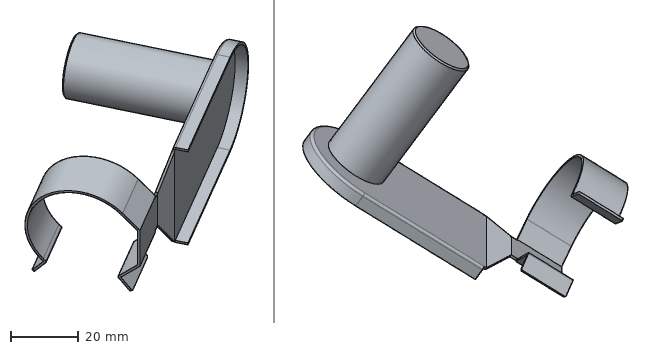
import cadquery as cq
import math

sheet = 0.8
plate_radius = 19.0
bend_radius = 0.9
flange_depth = 4.7
flange_end_y = -42.9

plate_end_y = -43.7
neck_start_y = -50.4
neck_half_width = 6.5
clip_offset = 3.15

pin_diameter = 20.0
pin_length = 45.2
pin_y = 3.0
pin_chamfer = 0.5

clip_start_y = -52.6
clip_end_y = -68.5
clip_outer_radius = 17.8
clip_center_x = -20.3
mouth_half_width = 11.5
lip_length = 6.1
lip_corner_radius = 0.5
mouth_radius = 0.5
lip_angle = math.radians(51)


def plate_block(radius, end_y, start_x, end_x):
    """Straight-sided block with a half-round end towards +Y."""
    return (
        cq.Workplane("YZ", origin=(start_x, 0, 0))
        .moveTo(end_y, -radius)
        .lineTo(0, -radius)
        .threePointArc((radius, 0), (0, radius))
        .lineTo(end_y, radius)
        .close()
        .extrude(end_x - start_x)
    )


def make_tray():
    """Plate with a flange around its sides and round end, open at the -Y end and the back."""
    outside = plate_block(plate_radius, flange_end_y, 0, flange_depth)
    outside = outside.faces("<X").edges("not <Y").fillet(bend_radius)
    inside = plate_block(plate_radius - sheet, flange_end_y, sheet, flange_depth)
    return outside.cut(inside)


def make_neck():
    """Sheet stepping forward from the plate, trimmed to a taper and a narrow tab."""
    bend = math.atan2(clip_offset, plate_end_y - neck_start_y)
    bend_shift = sheet * math.tan(bend / 2)
    side_profile = (
        cq.Workplane("XY", origin=(0, 0, -plate_radius))
        .polyline([
            (0, flange_end_y),
            (0, plate_end_y),
            (-clip_offset, neck_start_y),
            (-clip_offset, clip_start_y),
            (sheet - clip_offset, clip_start_y),
            (sheet - clip_offset, neck_start_y - bend_shift),
            (sheet, plate_end_y - bend_shift),
            (sheet, flange_end_y),
        ])
        .close()
        .extrude(2 * plate_radius)
    )
    wide_half = plate_radius - bend_radius
    outline = (
        cq.Workplane("YZ", origin=(-clip_offset, 0, 0))
        .polyline([
            (flange_end_y, wide_half),
            (plate_end_y, wide_half),
            (neck_start_y, neck_half_width),
            (clip_start_y, neck_half_width),
            (clip_start_y, -neck_half_width),
            (neck_start_y, -neck_half_width),
            (plate_end_y, -wide_half),
            (flange_end_y, -wide_half),
        ])
        .close()
        .extrude(clip_offset + sheet)
    )
    return side_profile.intersect(outline)


def make_pin():
    return (
        cq.Workplane("YZ", origin=(sheet / 2, 0, 0))
        .center(pin_y, 0)
        .circle(pin_diameter / 2)
        .extrude(-pin_length - sheet / 2)
        .faces("<X")
        .chamfer(pin_chamfer)
    )


def clip_half(offset):
    """Points of the +X half of a clip face, offset outwards from the middle of the sheet.

    Ordered from the end of the arc to the end of the lip, measured from the clip centre.
    """
    radius = clip_outer_radius - sheet / 2
    diagonal = math.sqrt(0.5)
    strip_x = sheet / 2 - clip_offset - clip_center_x
    tangent = (radius + offset) * diagonal
    strip_half = 2 * tangent - (strip_x + offset)

    normal_x, normal_z = math.sin(lip_angle), math.cos(lip_angle)
    mitre = offset / (1 + diagonal * (normal_x - normal_z))
    mouth_z = mouth_half_width - radius / diagonal
    mouth = (
        mouth_half_width + mitre * (diagonal + normal_x),
        mouth_z + mitre * (normal_z - diagonal),
    )
    lip_end = (
        mouth_half_width + lip_length * math.cos(lip_angle) + offset * normal_x,
        mouth_z - lip_length * math.sin(lip_angle) + offset * normal_z,
    )
    return [
        (tangent, tangent),
        (strip_x + offset, strip_half),
        (strip_x + offset, -strip_half),
        mouth,
        lip_end,
    ]


def make_clip():
    """Arc with a flat mounting strip on its +X side and matching outward lips at the mouth."""
    outer = clip_half(sheet / 2)
    inner = clip_half(-sheet / 2)
    outer_arc_end = outer[0][0]
    inner_arc_end = inner[0][0]
    outer_left = [(-x, z) for x, z in outer[3:]]
    inner_left = [(-x, z) for x, z in inner[3:]]
    clip = (
        cq.Workplane("XZ", origin=(clip_center_x, clip_start_y, 0))
        .moveTo(*outer_left[1])
        .lineTo(*outer_left[0])
        .lineTo(-outer_arc_end, -outer_arc_end)
        .threePointArc((-outer_arc_end, outer_arc_end), outer[0])
        .polyline(outer[1:], includeCurrent=True)
        .polyline(inner[:0:-1], includeCurrent=True)
        .lineTo(*inner[0])
        .threePointArc((-inner_arc_end, inner_arc_end), (-inner_arc_end, -inner_arc_end))
        .lineTo(*inner_left[0])
        .lineTo(*inner_left[1])
        .close()
        .extrude(clip_start_y - clip_end_y)
    )
    middle_y = (clip_start_y + clip_end_y) / 2
    for x, z in (inner[3], inner_left[0]):
        tip = (clip_center_x + x, middle_y, z)
        clip = clip.edges(cq.selectors.NearestToPointSelector(tip)).fillet(mouth_radius)
    for half_outer, half_inner in ((outer, inner), (outer_left, inner_left)):
        corner_x = clip_center_x + (half_outer[-1][0] + half_inner[-1][0]) / 2
        corner_z = (half_outer[-1][1] + half_inner[-1][1]) / 2
        for y in (clip_start_y, clip_end_y):
            corner = (corner_x, y, corner_z)
            clip = clip.edges(cq.selectors.NearestToPointSelector(corner)).fillet(lip_corner_radius)
    return clip


result = make_tray().union(make_neck()).union(make_pin()).union(make_clip())